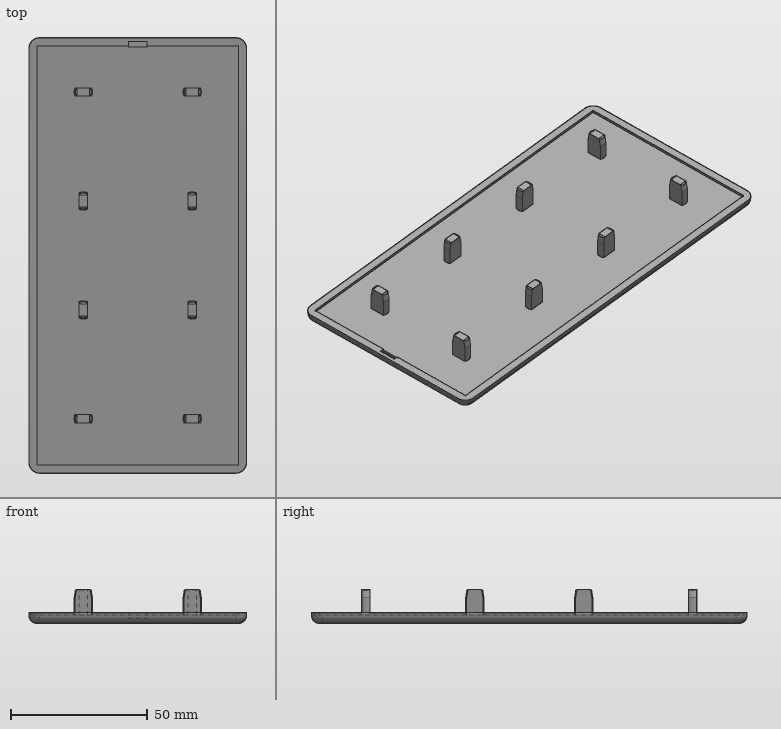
import cadquery as cq

plate_width = 80.0
plate_length = 160.0
plate_height = 4.0
corner_radius = 4.0
bottom_round = 3.0
rim_width = 3.0
pocket_depth = 1.0
floor_height = plate_height - pocket_depth

notch_length = 6.7
notch_width = 2.0
notch_edge_gap = 1.5
notch_depth = 2.0

post_top = 12.5
post_radius = 3.4
post_thickness = 3.0
tip_height = 3.0
tip_radius = 2.9
flat_top_length = 4.5
bevel_height = 0.5
post_pitch = 40.0


def make_plate():
    plate = (
        cq.Workplane("XY")
        .box(plate_width, plate_length, plate_height, centered=(True, True, False))
        .edges("|Z")
        .fillet(corner_radius)
        .faces("<Z")
        .edges()
        .fillet(bottom_round)
    )
    pocket = (
        cq.Workplane("XY", origin=(0, 0, floor_height))
        .rect(plate_width - 2 * rim_width, plate_length - 2 * rim_width)
        .extrude(pocket_depth)
    )
    notch_y = plate_length / 2 - notch_edge_gap - notch_width / 2
    notch = (
        cq.Workplane("XY", origin=(0, notch_y, plate_height - notch_depth))
        .rect(notch_length, notch_width)
        .extrude(notch_depth)
    )
    return plate.cut(pocket).cut(notch)


def make_post():
    """One post at the origin, its long side along X."""
    peg = (
        cq.Workplane("XZ")
        .moveTo(0, floor_height)
        .lineTo(post_radius, floor_height)
        .lineTo(post_radius, post_top - tip_height)
        .lineTo(tip_radius, post_top)
        .lineTo(0, post_top)
        .close()
        .revolve(360, (0, 0, 0), (0, 1, 0))
    )
    bevel_run = post_radius - flat_top_length / 2
    block = (
        cq.Workplane("XY", origin=(0, 0, floor_height))
        .box(2 * post_radius, post_thickness, post_top - floor_height, centered=(True, True, False))
        .faces(">Z")
        .edges("|Y")
        .chamfer(bevel_height, bevel_run)
    )
    return peg.intersect(block)


result = make_plate()
end_post = make_post()
middle_post = end_post.rotate((0, 0, 0), (0, 0, 1), 90)
for x in (-post_pitch / 2, post_pitch / 2):
    for side in (-1, 1):
        middle_y = side * post_pitch / 2
        end_y = middle_y + side * post_pitch
        result = result.union(middle_post.translate((x, middle_y, 0)))
        result = result.union(end_post.translate((x, end_y, 0)))